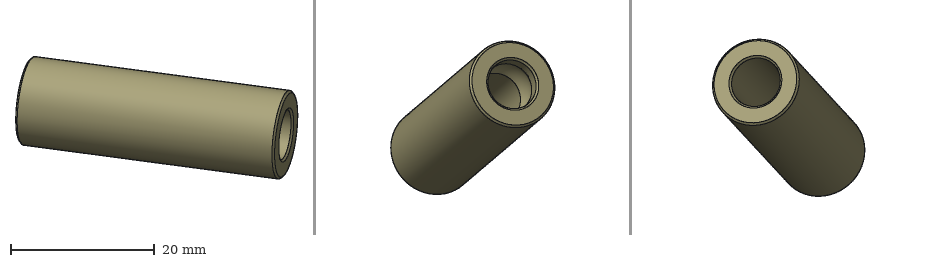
import cadquery as cq

length = 37.5
outer_diameter = 12.5
bore_diameter = 7.0
edge_chamfer = 0.3

recess_diameter = 8.78
recess_setback = 5.0

inlet_x = -length / 2


def make_sleeve():
    """Plain tube with every rim of the two end faces chamfered."""
    tube = (
        cq.Workplane("YZ", origin=(inlet_x, 0, 0))
        .circle(outer_diameter / 2)
        .circle(bore_diameter / 2)
        .extrude(length)
    )
    return tube.faces("<X or >X").edges().chamfer(edge_chamfer)


def make_recess():
    """Ball centred on the bore axis, set back from the -X end face."""
    centre = (inlet_x + recess_setback, 0, 0)
    return cq.Workplane("XY", origin=centre).sphere(recess_diameter / 2, direct=(1, 0, 0))


result = make_sleeve().cut(make_recess())